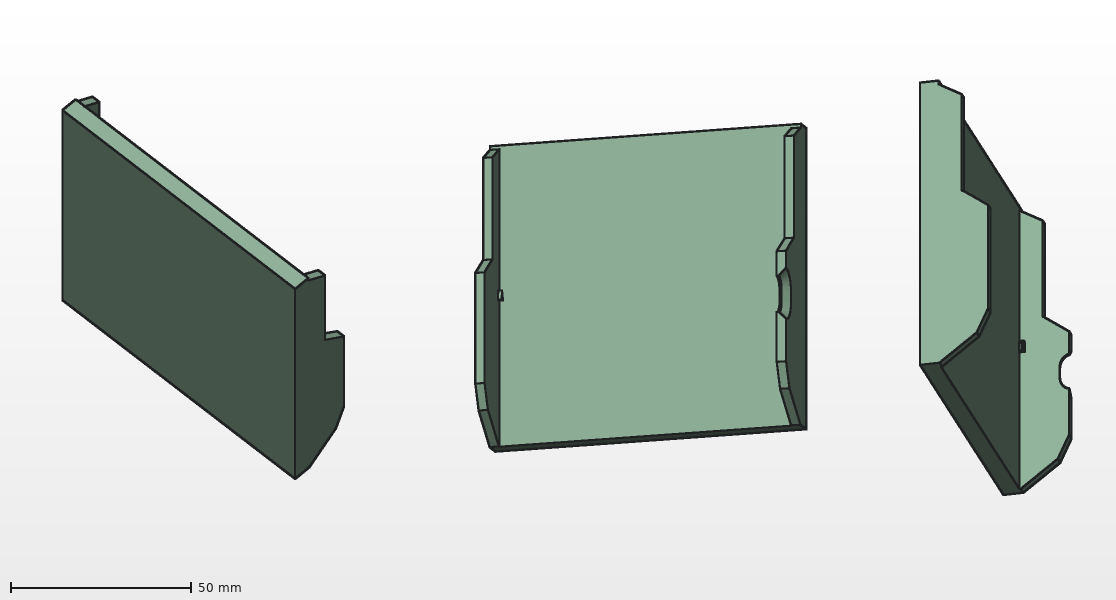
import cadquery as cq
import math

width = 90.15
height = 86.2
panel_thickness = 5.3

wall_thickness = 2.7
wall_depth = 19.6
upper_wall_depth = 12.0
wall_top = 85.1
upper_wall_top = 81.2
step_top = 52.0
step_bottom = 46.5
lower_back_end = 14.9
lower_corner_depth = 16.3
lower_corner_height = 7.9
wall_foot_depth = 5.7

notch_floor_depth = 14.8
notch_center_z = 34.35
notch_half_straight = 1.6
notch_outer_radius = 5.95
notch_inner_radius = 3.9
notch_arc_angle = 65
notch_end_slope = 10
notch_overrun = 0.9
notch_corner_y = notch_floor_depth + notch_outer_radius
countersink_depth = notch_outer_radius - notch_inner_radius

lug_height = 2.7
lug_base_z = (height - lug_height) / 2
left_lug_width = 1.6
left_lug_depth = 1.6
left_lug_bevel = 1.0
right_lug_width = 1.1
right_lug_depth = 1.35
right_lug_ridge = 1.0


def side_wall():
    """Wall outline in the YZ plane, extruded from x = 0 towards +X."""
    outline = [
        (0, 0),
        (wall_foot_depth, 0),
        (lower_corner_depth, lower_corner_height),
        (wall_depth, lower_back_end),
        (wall_depth, step_bottom),
        (upper_wall_depth, step_top),
        (upper_wall_depth, upper_wall_top),
        (panel_thickness, wall_top),
        (0, wall_top),
    ]
    return cq.Workplane("YZ").polyline(outline).close().extrude(wall_thickness)


def notch_profile(plane, radius):
    """Notch outline: straight floor, two corner arcs and slightly flared ends past the back edge."""

    def arc_point(angle, side):
        turn = math.radians(angle)
        y = notch_corner_y - radius * math.cos(turn)
        z = notch_half_straight + radius * math.sin(turn)
        return (y, side * z)

    def end_point(side):
        arc_y, arc_z = arc_point(notch_arc_angle, 1)
        y = wall_depth + notch_overrun
        z = arc_z + (y - arc_y) * math.tan(math.radians(notch_end_slope))
        return (y, side * z)

    return (
        plane.moveTo(*end_point(-1))
        .lineTo(*arc_point(notch_arc_angle, -1))
        .threePointArc(arc_point(notch_arc_angle / 2, -1), arc_point(0, -1))
        .lineTo(*arc_point(0, 1))
        .threePointArc(arc_point(notch_arc_angle / 2, 1), arc_point(notch_arc_angle, 1))
        .lineTo(*end_point(1))
        .close()
    )


def notch():
    """Cutter for the left wall: a through notch with a 45 degree countersink on the outer face."""
    outer_face = cq.Workplane("YZ", origin=(0, 0, notch_center_z))
    through_notch = notch_profile(outer_face, notch_inner_radius).extrude(wall_thickness)
    wide_end = notch_profile(outer_face, notch_outer_radius)
    narrow_end = wide_end.workplane(offset=countersink_depth)
    countersink = notch_profile(narrow_end, notch_inner_radius).loft(ruled=True)
    return through_notch.union(countersink)


def left_lug():
    """Flat-topped lug in the left corner, bevelled where it meets the panel."""
    tip_x = wall_thickness + left_lug_width
    back_y = panel_thickness + left_lug_depth
    outline = [
        (wall_thickness, panel_thickness),
        (tip_x - left_lug_bevel, panel_thickness),
        (tip_x, panel_thickness + left_lug_bevel),
        (tip_x, back_y),
        (wall_thickness, back_y),
    ]
    return cq.Workplane("XY").workplane(offset=lug_base_z).polyline(outline).close().extrude(lug_height)


def right_lug():
    """Pointed lug in the right corner, with its ridge running along X."""
    outline = [
        (panel_thickness, lug_base_z),
        (panel_thickness + right_lug_depth, lug_base_z),
        (panel_thickness + right_lug_ridge, lug_base_z + lug_height),
    ]
    start_x = width - wall_thickness - right_lug_width
    return cq.Workplane("YZ").workplane(offset=start_x).polyline(outline).close().extrude(right_lug_width)


panel = cq.Workplane("XY").box(width, panel_thickness, height, centered=False)
left_wall = side_wall().cut(notch())
right_wall = side_wall().translate((width - wall_thickness, 0, 0))
result = panel.union(left_wall).union(right_wall).union(left_lug()).union(right_lug())